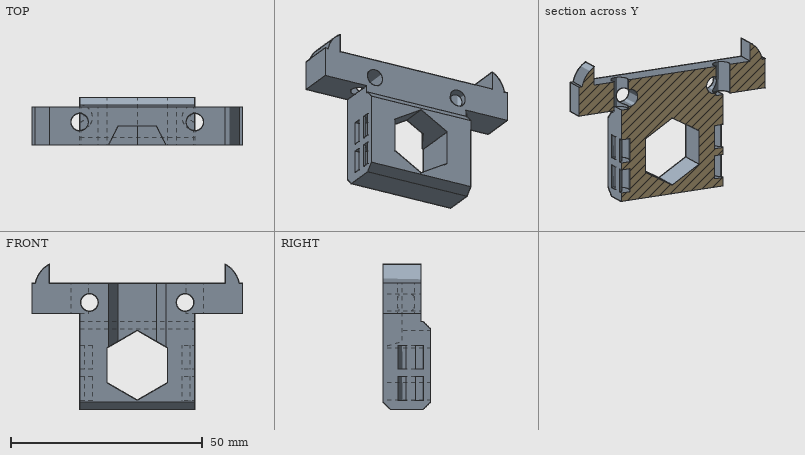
import cadquery as cq


bar_length = 55.0
bar_depth = 10.0
bar_bottom = 25.0
bar_top = 33.0
bar_height = bar_top - bar_bottom
block_width = 30.05
block_depth = 12.5
block_top = 23.0
chamfer = 2.0

hook_top = 37.95
hook_inner_x = 22.95
hook_outer_x = 26.6
hook_arc_mid = (25.3, 35.9)

hex_corner_diameter = 18.15
hex_center_z = 11.55
groove_front_half_width = 7.55
groove_back_half_width = 5.0
groove_depth = 5.0

hole_diameter = 4.5
front_hole_x = 12.5
front_hole_z = 27.95
vertical_hole_x = block_width / 2
vertical_hole_y = 6.05

tie_outer_radius = 3.3
tie_inner_radius = 1.2
tie_center_y = 7.25
tie_height = 6.15
tie_bottoms = (2.4, 10.6)


def make_block():
    """Clamp block with chamfered edges and a shallower neck rising to the bar."""
    profile = [
        (0, chamfer),
        (chamfer, 0),
        (block_depth - chamfer, 0),
        (block_depth, chamfer),
        (block_depth, block_top - chamfer),
        (block_depth - chamfer, block_top),
        (0, block_top),
    ]
    block = cq.Workplane("YZ").polyline(profile).close().extrude(block_width / 2, both=True)
    neck = cq.Workplane("XY").workplane(offset=block_top).rect(block_width, bar_depth)
    neck = neck.extrude(bar_bottom - block_top).translate((0, bar_depth / 2, 0))
    return block.union(neck)


def make_bar():
    """Cross bar with a vertical hole above each side of the block."""
    bar = cq.Workplane("XY").workplane(offset=bar_bottom).rect(bar_length, bar_depth)
    bar = bar.extrude(bar_height).translate((0, bar_depth / 2, 0))
    holes = cq.Workplane("XY").workplane(offset=bar_bottom)
    holes = holes.pushPoints([(side * vertical_hole_x, vertical_hole_y) for side in (-1, 1)])
    return bar.cut(holes.circle(hole_diameter / 2).extrude(bar_height))


def make_hook(side):
    """Upright hook with a rounded outer face on one end of the bar."""
    return (
        cq.Workplane("XZ")
        .moveTo(side * hook_inner_x, bar_top)
        .lineTo(side * hook_outer_x, bar_top)
        .threePointArc((side * hook_arc_mid[0], hook_arc_mid[1]), (side * hook_inner_x, hook_top))
        .close()
        .extrude(-bar_depth)
    )


def make_hex_bore():
    """Hexagonal through bore with corners at top and bottom."""
    bore = cq.Workplane("XZ").polygon(6, hex_corner_diameter).extrude(-block_depth)
    return bore.rotate((0, 0, 0), (0, 1, 0), 90).translate((0, 0, hex_center_z))


def make_groove():
    """Tapered front groove from the bore up through the bar."""
    outline = [
        (-groove_front_half_width, 0),
        (-groove_back_half_width, groove_depth),
        (groove_back_half_width, groove_depth),
        (groove_front_half_width, 0),
    ]
    groove = cq.Workplane("XY").workplane(offset=hex_center_z).polyline(outline).close()
    return groove.extrude(bar_top - hex_center_z)


def make_front_holes():
    """Pair of holes through the bar from front to back."""
    holes = cq.Workplane("XZ").pushPoints([(side * front_hole_x, front_hole_z) for side in (-1, 1)])
    return holes.circle(hole_diameter / 2).extrude(-bar_depth)


def make_tie_channel(side, bottom):
    """Ring centred on a block side, leaving a half-round channel inside the block."""
    ring = cq.Workplane("XY").circle(tie_outer_radius).circle(tie_inner_radius).extrude(tie_height)
    return ring.translate((side * block_width / 2, tie_center_y, bottom))


result = make_block().union(make_bar())
result = result.cut(make_hex_bore()).cut(make_groove()).cut(make_front_holes())
for side in (-1, 1):
    result = result.union(make_hook(side))
    for bottom in tie_bottoms:
        result = result.cut(make_tie_channel(side, bottom))